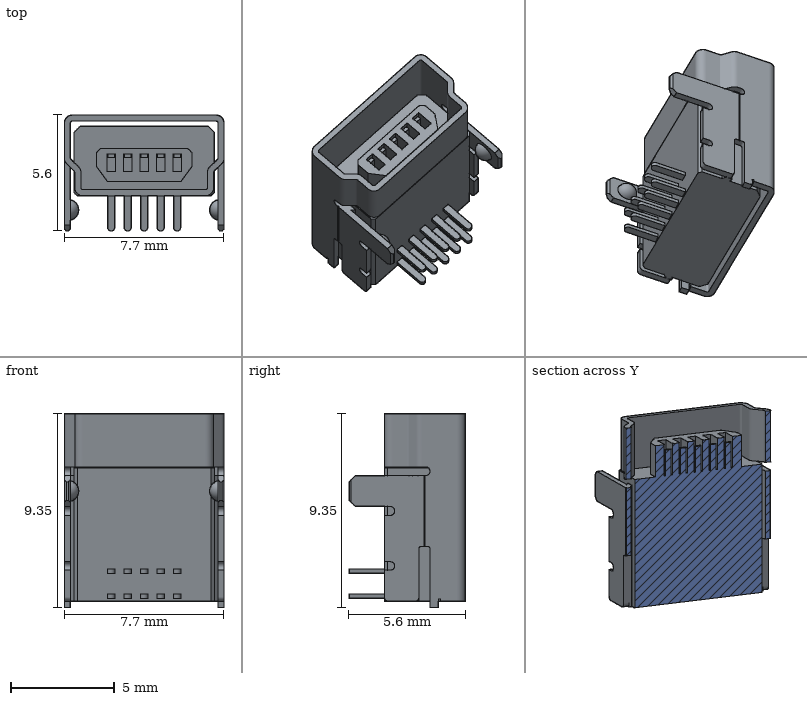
import cadquery as cq


HEIGHT = 9.35
HALF_WIDTH = 3.85
TIP_Y = -5.6
FRONT_Y = -3.9
BASE_Z = 0.3

SHEET = 0.3
INNER_BEND = 0.09
OUTER_BEND = INNER_BEND + SHEET
INNER_HALF_WIDTH = HALF_WIDTH - SHEET
SHROUD_Z = 6.77
STEP_HALF_WIDTH = 3.35
STEP_Y = -2.23
STEP_END_Y = STEP_Y - (HALF_WIDTH - STEP_HALF_WIDTH)

RELIEF_Y = -1.7
TAB_TOP_Z = 6.36
TAB_BOTTOM_Z = 4.87
NOTCH_Y = -3.4
UPPER_NOTCH = (4.44, TAB_BOTTOM_Z)
LOWER_NOTCH = (1.8, 2.21)
LEG_SLOT_WIDTH = 0.53
LEG_REAR_Y = RELIEF_Y - LEG_SLOT_WIDTH
LEG_SLOT_TOP_Z = 2.945
LEG_SLOT_ROUND = 0.11
LEG_ROUND = 0.2
SEAM_WIDTH = 0.04
SEAM_DEPTH = 0.04

TAB_CORNER = 0.3
TAB_TIP_CHAMFER = 0.1
DIMPLE_RADIUS = 0.505
DIMPLE_HEIGHT = 0.4
DIMPLE_Y = -4.58
DIMPLE_Z = (TAB_TOP_Z + TAB_BOTTOM_Z) / 2
FOOT_WIDTH = 0.4
FOOT_REAR_Y = RELIEF_Y + FOOT_WIDTH
FOOT_NOTCH_WIDTH = 0.1
FOOT_NOTCH_HEIGHT = 0.11

BODY_HALF_WIDTH = 3.385
BODY_REAR_Y = -0.53
BODY_TOP_Z = 6.73
BODY_REAR_CHAMFER = 0.31
BODY_FRONT_CHAMFER = 0.16

TONGUE_TOP_Z = 8.29
TONGUE_HALF_WIDTH = 2.3
TONGUE_FRONT_HALF_WIDTH = 1.78
TONGUE_REAR_Y = -1.62
TONGUE_TAPER_Y = -2.49
TONGUE_FRONT_Y = -3.2
TONGUE_CHAMFER = 0.2
SLOT_WIDTH = 0.42
SLOT_REAR_Y = -1.88
SLOT_FRONT_Y = -2.72
CONTACT_WIDTH = 0.31
CONTACT_THICKNESS = 0.18
CONTACT_RECESS = 0.28

PIN_PITCH = 0.795
PIN_COUNT = 5
PIN_WIDTH = 0.35
PIN_HEIGHT = 0.215
PIN_ROWS_Z = (0.55, 1.76)

SELECT_MARGIN = 0.01

PIN_XS = [(i - (PIN_COUNT - 1) / 2) * PIN_PITCH for i in range(PIN_COUNT)]


def box(x0, x1, y0, y1, z0, z1):
    """Block between two opposite corners."""
    return cq.Workplane("XY").box(x1 - x0, y1 - y0, z1 - z0, centered=False).translate((x0, y0, z0))


def prism(right_points, z0, z1):
    """Extrude an outline, given by its +X half from rear to front, mirrored about X = 0."""
    left_points = [(-x, y) for x, y in reversed(right_points)]
    outline = cq.Workplane("XY").workplane(offset=z0).polyline(right_points + left_points).close()
    return outline.extrude(z1 - z0)


def both_sides(part):
    """The part together with its mirror image about X = 0."""
    return part.union(part.mirror("YZ"))


def edges_within(edges, y0, y1, z0, z1):
    """Keep the edges whose middle lies in a Y-Z window, grown by a small margin."""
    low = (-HALF_WIDTH - SELECT_MARGIN, y0 - SELECT_MARGIN, z0 - SELECT_MARGIN)
    high = (HALF_WIDTH + SELECT_MARGIN, y1 + SELECT_MARGIN, z1 + SELECT_MARGIN)
    return edges.edges(cq.selectors.BoxSelector(low, high))


def stepped_tube(z0, z1):
    """Closed shell section: wide at the rear, stepping in at 45 degrees to a narrow front."""
    outer = prism(
        [
            (HALF_WIDTH, 0),
            (HALF_WIDTH, STEP_Y),
            (STEP_HALF_WIDTH, STEP_END_Y),
            (STEP_HALF_WIDTH, FRONT_Y),
        ],
        z0,
        z1,
    )
    outer = edges_within(outer.edges("|Z"), STEP_END_Y, STEP_END_Y, z0, z1).fillet(INNER_BEND)
    for corner_y in (0, STEP_Y, FRONT_Y):
        outer = edges_within(outer.edges("|Z"), corner_y, corner_y, z0, z1).fillet(OUTER_BEND)
    cavity = outer.faces(">Z").wires().toPending().offset2D(-SHEET).extrude(z0 - z1, combine=False)
    return outer.cut(cavity)


def side_notch(y_end, z0, z1):
    """Cut through both legs from the front edge back to a full-round end."""
    radius = (z1 - z0) / 2
    z_mid = (z0 + z1) / 2
    straight = box(-HALF_WIDTH, HALF_WIDTH, FRONT_Y, y_end - radius, z0, z1)
    end = (
        cq.Workplane("YZ")
        .center(y_end - radius, z_mid)
        .circle(radius)
        .extrude(HALF_WIDTH, both=True)
    )
    return straight.union(end)


def make_leg_slots():
    """Upright slots, open at the bottom, behind both legs."""
    slots = box(-HALF_WIDTH, HALF_WIDTH, LEG_REAR_Y, RELIEF_Y, BASE_Z, LEG_SLOT_TOP_Z)
    return slots.edges("|X and >Z").fillet(LEG_SLOT_ROUND)


def make_seams():
    """Narrow grooves in the outer faces, from the leg slots up to the relief cuts."""
    rear_y = (RELIEF_Y + LEG_REAR_Y + SEAM_WIDTH) / 2
    return both_sides(
        box(HALF_WIDTH - SEAM_DEPTH, HALF_WIDTH, rear_y - SEAM_WIDTH, rear_y, LEG_SLOT_TOP_Z, TAB_TOP_Z)
    )


def make_shell_walls():
    """Stepped mouth above a rear channel with two straight, freed legs and their cut-outs."""
    walls = stepped_tube(BASE_Z, HEIGHT)
    walls = walls.cut(box(-HALF_WIDTH, HALF_WIDTH, FRONT_Y, RELIEF_Y, BASE_Z, TAB_TOP_Z))
    walls = walls.union(
        both_sides(box(INNER_HALF_WIDTH, HALF_WIDTH, FRONT_Y, RELIEF_Y, BASE_Z, TAB_TOP_Z))
    )
    walls = walls.cut(side_notch(RELIEF_Y, TAB_TOP_Z, SHROUD_Z))
    for z0, z1 in (LOWER_NOTCH, UPPER_NOTCH):
        walls = walls.cut(side_notch(NOTCH_Y, z0, z1))

    walls = walls.cut(make_leg_slots())
    leg_corners = edges_within(walls.edges("|X"), FRONT_Y, LEG_REAR_Y, BASE_Z, BASE_Z)
    return leg_corners.fillet(LEG_ROUND)


def make_bridges():
    """Remains of the 45 degree step behind the legs, reaching in to the body sides."""
    window = both_sides(
        box(BODY_HALF_WIDTH, INNER_HALF_WIDTH, STEP_END_Y, STEP_Y + SHEET, BASE_Z, TAB_TOP_Z)
    )
    return stepped_tube(BASE_Z, TAB_TOP_Z).intersect(window).cut(make_leg_slots())


def make_tabs():
    """Locking tabs that carry on from the legs, each with a domed dimple on its inner face."""
    tab = box(INNER_HALF_WIDTH, HALF_WIDTH, TIP_Y, FRONT_Y, TAB_BOTTOM_Z, TAB_TOP_Z)
    tab = tab.edges("|X and <Y").chamfer(TAB_CORNER)
    tab = tab.faces("<Y").edges("|Z").chamfer(TAB_TIP_CHAMFER)

    dome_x = INNER_HALF_WIDTH - DIMPLE_HEIGHT + DIMPLE_RADIUS
    dome = cq.Workplane("XY").sphere(DIMPLE_RADIUS).translate((dome_x, DIMPLE_Y, DIMPLE_Z))
    inner_side = box(0, INNER_HALF_WIDTH, TIP_Y, FRONT_Y, 0, HEIGHT)
    return both_sides(tab.union(dome.intersect(inner_side)))


def make_feet():
    """Short feet below the shell sides."""
    foot = box(INNER_HALF_WIDTH, HALF_WIDTH, RELIEF_Y, FOOT_REAR_Y, 0, BASE_Z)
    return both_sides(foot)


def make_foot_notches():
    """Relief notches cut up into the shell just behind the feet."""
    notch = box(
        INNER_HALF_WIDTH,
        HALF_WIDTH,
        FOOT_REAR_Y,
        FOOT_REAR_Y + FOOT_NOTCH_WIDTH,
        BASE_Z,
        BASE_Z + FOOT_NOTCH_HEIGHT,
    )
    return both_sides(notch)


def make_body():
    """Insulator block with bevelled upright corners."""
    body = box(-BODY_HALF_WIDTH, BODY_HALF_WIDTH, FRONT_Y, BODY_REAR_Y, BASE_Z, BODY_TOP_Z)
    body = body.edges("|Z and >Y").chamfer(BODY_REAR_CHAMFER)
    return body.edges("|Z and <Y").chamfer(BODY_FRONT_CHAMFER)


def make_tongue():
    """Tongue on top of the body, with a recessed contact in each of its slots."""
    tongue = prism(
        [
            (TONGUE_HALF_WIDTH - TONGUE_CHAMFER, TONGUE_REAR_Y),
            (TONGUE_HALF_WIDTH, TONGUE_REAR_Y - TONGUE_CHAMFER),
            (TONGUE_HALF_WIDTH, TONGUE_TAPER_Y),
            (TONGUE_FRONT_HALF_WIDTH, TONGUE_FRONT_Y),
        ],
        BODY_TOP_Z,
        TONGUE_TOP_Z,
    )
    half_slot = SLOT_WIDTH / 2
    half_contact = CONTACT_WIDTH / 2
    contact_front_y = SLOT_REAR_Y - CONTACT_THICKNESS
    contact_top_z = TONGUE_TOP_Z - CONTACT_RECESS
    for x in PIN_XS:
        tongue = tongue.cut(
            box(x - half_slot, x + half_slot, SLOT_FRONT_Y, SLOT_REAR_Y, BODY_TOP_Z, TONGUE_TOP_Z)
        )
        tongue = tongue.union(
            box(x - half_contact, x + half_contact, contact_front_y, SLOT_REAR_Y, BODY_TOP_Z, contact_top_z)
        )
    return tongue


def make_pins():
    """Two rows of solder pins with full-round tips."""
    half = PIN_WIDTH / 2
    pins = cq.Workplane("XY")
    for z in PIN_ROWS_Z:
        for x in PIN_XS:
            pin = (
                cq.Workplane("XY")
                .workplane(offset=z - PIN_HEIGHT / 2)
                .moveTo(x - half, FRONT_Y)
                .lineTo(x - half, TIP_Y + half)
                .threePointArc((x, TIP_Y), (x + half, TIP_Y + half))
                .lineTo(x + half, FRONT_Y)
                .close()
                .extrude(PIN_HEIGHT)
            )
            pins = pins.add(pin)
    return pins.combine()


shell = make_shell_walls().union(make_bridges()).union(make_tabs())
shell = shell.union(make_feet()).cut(make_foot_notches()).cut(make_seams())
insulator = make_body().union(make_tongue()).union(make_pins())
result = shell.union(insulator)